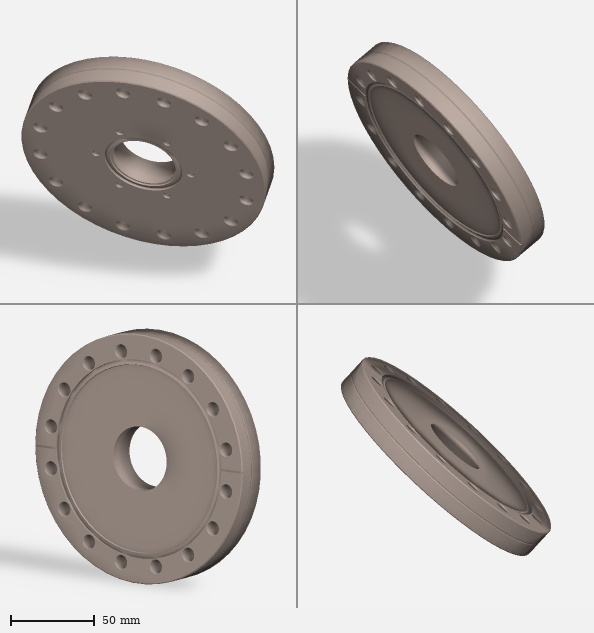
import cadquery as cq
import math

flange_diameter = 151.6
thickness = 19.9
rim_chamfer = 0.6
bore_diameter = 39.0

rim_groove_width = 1.2
rim_groove_depth = 0.3

front_recess_diameter = 48.2
back_recess_diameter = 120.7
cone_width = 3.2
cone_angle = 20.0
knife_tip_depth = 0.6
knife_bevel = 0.3
inner_floor_depth = 1.5

bolt_count = 16
bolt_circle_diameter = 130.4
bolt_hole_diameter = 8.3
bolt_hole_chamfer = 0.3

blind_hole_count = 6
blind_circle_diameter = 58.7
blind_hole_diameter = 4.9
blind_hole_depth = 9.1
drill_point_angle = 118.0

leak_groove_count = 2
leak_groove_width = 1.4
leak_groove_depth = 0.8

front_y = -thickness / 2
back_y = thickness / 2
flange_radius = flange_diameter / 2


def revolve_about_y(points):
    """Solid of revolution about the Y axis from (radius, y) points."""
    return cq.Workplane("XY").polyline(points).close().revolve(360, (0, 0), (0, 1))


def disc():
    rim_inner = flange_radius - rim_chamfer
    return revolve_about_y([
        (0, front_y),
        (rim_inner, front_y),
        (flange_radius, front_y + rim_chamfer),
        (flange_radius, -rim_groove_width / 2),
        (flange_radius - rim_groove_depth, 0),
        (flange_radius, rim_groove_width / 2),
        (flange_radius, back_y - rim_chamfer),
        (rim_inner, back_y),
        (0, back_y),
    ])


def gasket_recess(diameter):
    """Cutter for the recess in the front face, leaving the knife edge standing."""
    radius = diameter / 2
    tip_radius = radius - cone_width
    tip_y = front_y + knife_tip_depth
    cone_foot_y = tip_y + cone_width * math.tan(math.radians(cone_angle))
    return revolve_about_y([
        (0, front_y),
        (radius, front_y),
        (radius, cone_foot_y),
        (tip_radius, tip_y),
        (tip_radius - knife_bevel, front_y + inner_floor_depth),
        (0, front_y + inner_floor_depth),
    ])


def bore():
    radius = bore_diameter / 2
    return revolve_about_y([(0, front_y), (radius, front_y), (radius, back_y), (0, back_y)])


def bolt_hole():
    radius = bolt_hole_diameter / 2
    mouth_radius = radius + bolt_hole_chamfer
    return revolve_about_y([
        (0, front_y),
        (mouth_radius, front_y),
        (radius, front_y + bolt_hole_chamfer),
        (radius, back_y - bolt_hole_chamfer),
        (mouth_radius, back_y),
        (0, back_y),
    ]).translate((bolt_circle_diameter / 2, 0, 0))


def blind_hole():
    radius = blind_hole_diameter / 2
    shoulder_y = front_y + blind_hole_depth
    point_length = radius / math.tan(math.radians(drill_point_angle / 2))
    return revolve_about_y([
        (0, front_y),
        (radius, front_y),
        (radius, shoulder_y),
        (0, shoulder_y + point_length),
    ]).translate((blind_circle_diameter / 2, 0, 0))


def cut_ring(body, cutter, count, start_angle):
    """Cut copies of a +X-side cutter, evenly spaced around the Y axis."""
    for i in range(count):
        body = body.cut(cutter.rotate((0, 0, 0), (0, 1, 0), start_angle + 360 * i / count))
    return body


def leak_groove():
    """Cutter from the back recess out to the rim on the +X side."""
    inner_radius = back_recess_diameter / 2 - cone_width / 2
    return cq.Workplane("XY").box(
        flange_radius - inner_radius,
        leak_groove_depth,
        leak_groove_width,
    ).translate(((flange_radius + inner_radius) / 2, back_y - leak_groove_depth / 2, 0))


result = disc().cut(bore()).cut(gasket_recess(front_recess_diameter))
result = result.cut(gasket_recess(back_recess_diameter).mirror("XZ"))
result = cut_ring(result, bolt_hole(), bolt_count, 180 / bolt_count)
result = cut_ring(result, blind_hole(), blind_hole_count, 0)
result = cut_ring(result, leak_groove(), leak_groove_count, 0)